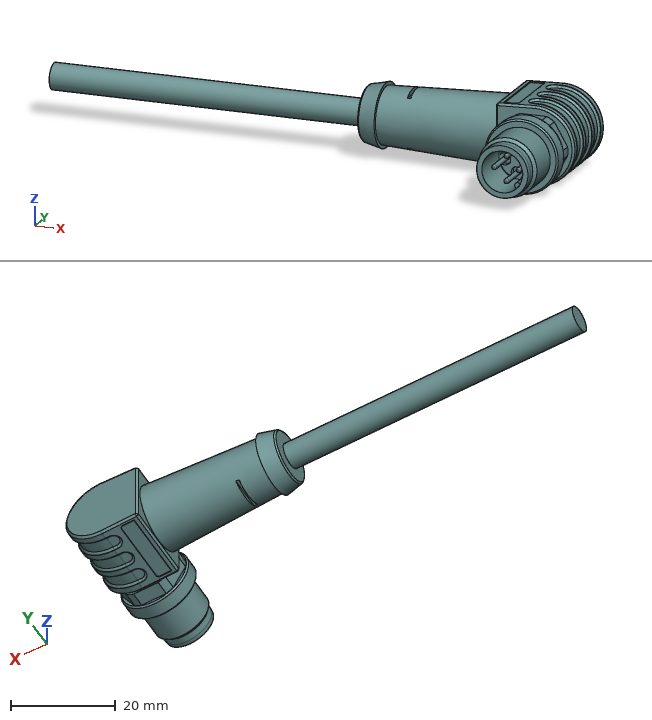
import cadquery as cq
import math


total_length = 109.7
total_depth = 33.5
head_diameter = 16.0

head_radius = head_diameter / 2
cable_end_x = head_radius - total_length
plug_end_y = head_radius - total_depth

head_left_x = -8.1
head_left_half_height = 7.7
head_edge_chamfer = 0.4

pocket_count = 3
pocket_pitch = 4.6
pocket_width = 3.3
pocket_depth = 0.5
pocket_floor_chamfer = 0.4
pocket_start_x = -2.5

label_center_x = -5.3
label_width = 3.1
label_length = 14.0
label_corner_radius = 0.5
label_depth = 0.2

cable_diameter = 5.4
grip_start_x = -37.4
flange_end_x = -33.6
flange_start_diameter = 10.7
flange_end_diameter = 13.0
flange_edge_size = 0.3
grip_start_diameter = 11.6
grip_end_diameter = 14.0

notch_center_x = -27.6
notch_width = 0.7
notch_floor_height = 5.0

neck_diameter = 9.3
nut_start_y = -8.9
nut_across_flats = 13.0
nut_corner_diameter = 14.1
collar_start_y = -12.0
collar_end_y = -15.5
collar_diameter = 15.0
collar_chamfer = 0.3
sleeve_diameter = 12.0
sleeve_end_y = -22.5
shoulder_length = 0.7
tip_diameter = 10.7
tip_taper_start_y = -24.6
tip_end_diameter = 10.5

bore_diameter = 8.3
bore_depth = 9.0
pin_count = 4
pin_circle_radius = 2.5
pin_diameter = 1.0
pin_setback = 2.0
pin_tip_radius = 0.3
carrier_diameter = 7.0
carrier_height = 1.1
pin_well_diameter = 2.4
key_diameter = 1.3
key_circle_radius = 4.0
key_angle = -45.0
key_setback = 1.1


def along_plug(diameter, start_y, end_y):
    """Round bar on the plug axis, reaching from start_y down to end_y."""
    plane = cq.Workplane("XZ", origin=(0, start_y, 0))
    return plane.circle(diameter / 2).extrude(start_y - end_y)


def make_head():
    """Block with a slightly sloped top and underside and a round end, edges broken all round."""
    body = (
        cq.Workplane("XZ", origin=(0, head_radius, 0))
        .moveTo(head_left_x, -head_left_half_height)
        .lineTo(0, -head_radius)
        .threePointArc((head_radius, 0), (0, head_radius))
        .lineTo(head_left_x, head_left_half_height)
        .close()
        .extrude(head_diameter)
    )
    return body.faces("<X or <Y or >Y").edges().chamfer(head_edge_chamfer)


def pocket_cutter(center_y):
    """U-shaped ring that removes the head skin from its top, round its end, to its underside."""
    reach = 2 * head_radius
    outline = (
        cq.Workplane("XY", origin=(0, center_y, -reach))
        .moveTo(reach, -pocket_width / 2)
        .lineTo(pocket_start_x + pocket_width / 2, -pocket_width / 2)
        .threePointArc(
            (pocket_start_x, 0), (pocket_start_x + pocket_width / 2, pocket_width / 2)
        )
        .lineTo(reach, pocket_width / 2)
        .close()
        .extrude(2 * reach)
    )
    floor_radius = head_radius - pocket_depth
    floor_core = (
        cq.Workplane("XZ", origin=(0, reach, 0))
        .moveTo(-reach, -floor_radius)
        .lineTo(0, -floor_radius)
        .threePointArc((floor_radius, 0), (0, floor_radius))
        .lineTo(-reach, floor_radius)
        .close()
        .extrude(2 * reach)
    )
    floor_box = cq.selectors.BoxSelector(
        (-head_radius, center_y - pocket_width, -head_radius),
        (head_radius, center_y + pocket_width, head_radius),
        boundingbox=True,
    )
    across_pocket = cq.selectors.ParallelDirSelector(cq.Vector(0, 1, 0))
    floor_edges = cq.selectors.SubtractSelector(floor_box, across_pocket)
    return outline.cut(floor_core).edges(floor_edges).chamfer(pocket_floor_chamfer)


def label_cutter():
    """Shallow plate following the sloped top of the head, rounded on its +X corners."""
    slope = math.atan2(head_radius - head_left_half_height, -head_left_x)
    surface_z = head_radius + label_center_x * math.tan(slope)
    return (
        cq.Workplane("XY")
        .box(label_width, label_length, 2 * label_depth)
        .edges("|Z and >X")
        .fillet(label_corner_radius)
        .rotate((0, 0, 0), (0, 1, 0), -math.degrees(slope))
        .translate((label_center_x, 0, surface_z))
    )


def make_cable_and_grip():
    profile = (
        cq.Workplane("XY")
        .moveTo(cable_end_x, 0)
        .lineTo(cable_end_x, cable_diameter / 2)
        .lineTo(grip_start_x, cable_diameter / 2)
        .lineTo(grip_start_x, flange_start_diameter / 2)
        .lineTo(grip_start_x + flange_edge_size, flange_start_diameter / 2 + flange_edge_size)
        .lineTo(flange_end_x, flange_end_diameter / 2)
        .lineTo(flange_end_x, grip_start_diameter / 2)
        .lineTo(head_left_x, grip_end_diameter / 2)
        .lineTo(0, grip_end_diameter / 2)
        .lineTo(0, 0)
        .close()
    )
    return profile.revolve(360, (0, 0, 0), (1, 0, 0))


def notch_cutter():
    cutter_size = grip_end_diameter
    return cq.Workplane("XY").box(notch_width, cutter_size, cutter_size).translate(
        (notch_center_x, 0, notch_floor_height + cutter_size / 2)
    )


def make_nut():
    hex_corner_diameter = nut_across_flats / math.cos(math.pi / 6)
    hexagon = (
        cq.Workplane("XZ", origin=(0, nut_start_y, 0))
        .polygon(6, hex_corner_diameter)
        .extrude(nut_start_y - collar_start_y)
    )
    return hexagon.intersect(along_plug(nut_corner_diameter, nut_start_y, collar_start_y))


def make_plug():
    neck = along_plug(neck_diameter, -head_radius, nut_start_y)
    collar = along_plug(collar_diameter, collar_start_y, collar_end_y)
    collar = collar.faces("<Y or >Y").chamfer(collar_chamfer)
    nose = (
        cq.Workplane("XY")
        .moveTo(0, collar_end_y)
        .lineTo(sleeve_diameter / 2, collar_end_y)
        .lineTo(sleeve_diameter / 2, sleeve_end_y)
        .lineTo(tip_diameter / 2, sleeve_end_y - shoulder_length)
        .lineTo(tip_diameter / 2, tip_taper_start_y)
        .lineTo(tip_end_diameter / 2, plug_end_y)
        .lineTo(0, plug_end_y)
        .close()
        .revolve(360, (0, 0, 0), (0, 1, 0))
    )
    return neck.union(make_nut()).union(collar).union(nose)


def at_each_pin(shape):
    """Copies of a shape on the plug axis, moved out to every pin place."""
    copies = cq.Workplane("XY")
    for index in range(pin_count):
        angle = 2 * math.pi * index / pin_count
        offset_x = pin_circle_radius * math.cos(angle)
        offset_z = pin_circle_radius * math.sin(angle)
        copies = copies.add(shape.translate((offset_x, 0, offset_z)))
    return copies.combine()


def make_pins(bore_floor_y):
    pin = along_plug(pin_diameter, bore_floor_y, plug_end_y + pin_setback)
    return at_each_pin(pin.faces("<Y").edges().fillet(pin_tip_radius))


def make_carrier(bore_floor_y):
    """Raised cross on the bore floor, left standing between the round pin wells."""
    carrier_top_y = bore_floor_y - carrier_height
    disc = along_plug(carrier_diameter, bore_floor_y, carrier_top_y)
    well = along_plug(pin_well_diameter, bore_floor_y, carrier_top_y)
    return disc.cut(at_each_pin(well))


def make_key(bore_floor_y):
    """Coding rib, standing half out of the bore wall."""
    angle = math.radians(key_angle)
    offset = (key_circle_radius * math.cos(angle), 0, key_circle_radius * math.sin(angle))
    return along_plug(key_diameter, bore_floor_y, plug_end_y + key_setback).translate(offset)


head = make_head()
for index in range(pocket_count):
    pocket_y = (index - (pocket_count - 1) / 2) * pocket_pitch
    head = head.cut(pocket_cutter(pocket_y))

body = head.union(make_cable_and_grip())

for cutter in (label_cutter(), notch_cutter()):
    body = body.cut(cutter).cut(cutter.mirror("XY"))

bore_floor = plug_end_y + bore_depth
body = body.union(make_plug())
body = body.cut(along_plug(bore_diameter, bore_floor, plug_end_y))
body = body.union(make_carrier(bore_floor))
result = body.union(make_pins(bore_floor)).union(make_key(bore_floor))